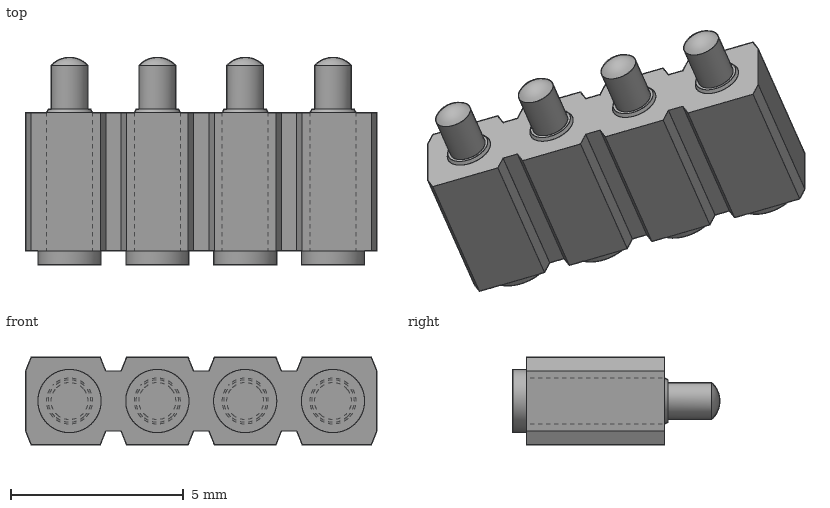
import cadquery as cq

pin_count = 4
pitch = 2.54
housing_length = pin_count * pitch
housing_depth = 4.0
housing_height = 2.54
groove_depth = 0.4
groove_floor_width = 0.44
groove_slope_run = 0.16

flange_diameter = 1.83
flange_thickness = 0.4
barrel_diameter = 1.33
barrel_protrusion = 0.1
barrel_taper = 0.05
plunger_diameter = 1.07
plunger_protrusion = 1.6
dome_height = 0.24

pin_positions = [(i - (pin_count - 1) / 2) * pitch for i in range(pin_count)]


def extrude_along_y(profile):
    """Extrude an XZ profile through the housing, from its front face at Y = 0 to its back face."""
    return profile.extrude(-housing_depth)


def make_groove(x, side):
    """Trapezoidal groove cutter at x, on the top (side = 1) or bottom (side = -1)."""
    floor_half = groove_floor_width / 2
    mouth_half = floor_half + groove_slope_run
    mouth_z = side * housing_height / 2
    floor_z = mouth_z - side * groove_depth
    return extrude_along_y(
        cq.Workplane("XZ").polyline([
            (x - mouth_half, mouth_z),
            (x - floor_half, floor_z),
            (x + floor_half, floor_z),
            (x + mouth_half, mouth_z),
        ]).close()
    )


def make_housing():
    """Bar with beveled ends, a groove between neighbouring cells and a hole for each pin."""
    end_x = housing_length / 2
    flat_x = end_x - groove_slope_run
    top_z = housing_height / 2
    bevel_z = top_z - groove_depth
    body = extrude_along_y(
        cq.Workplane("XZ").polyline([
            (-flat_x, top_z), (flat_x, top_z),
            (end_x, bevel_z), (end_x, -bevel_z),
            (flat_x, -top_z), (-flat_x, -top_z),
            (-end_x, -bevel_z), (-end_x, bevel_z),
        ]).close()
    )
    for x in pin_positions[:-1]:
        for side in (1, -1):
            body = body.cut(make_groove(x + pitch / 2, side))
    holes = extrude_along_y(
        cq.Workplane("XZ").pushPoints([(x, 0) for x in pin_positions]).circle(barrel_diameter / 2)
    )
    return body.cut(holes)


def make_pin(x):
    """Pin turned about an axis parallel to Y, placed at x."""
    flange_radius = flange_diameter / 2
    barrel_radius = barrel_diameter / 2
    plunger_radius = plunger_diameter / 2
    barrel_end = housing_depth + barrel_protrusion
    tip = housing_depth + plunger_protrusion
    dome_start = tip - dome_height
    dome_radius = (plunger_radius**2 + dome_height**2) / (2 * dome_height)
    mid_radius = plunger_radius / 2
    mid_y = tip - dome_radius + (dome_radius**2 - mid_radius**2) ** 0.5
    return (
        cq.Workplane("XY")
        .moveTo(0, -flange_thickness)
        .lineTo(flange_radius, -flange_thickness)
        .lineTo(flange_radius, 0)
        .lineTo(barrel_radius, 0)
        .lineTo(barrel_radius, housing_depth)
        .lineTo(barrel_radius - barrel_taper, barrel_end)
        .lineTo(plunger_radius, barrel_end)
        .lineTo(plunger_radius, dome_start)
        .threePointArc((mid_radius, mid_y), (0, tip))
        .close()
        .revolve(360, (0, 0, 0), (0, 1, 0))
        .translate((x, 0, 0))
    )


housing = make_housing()
pins = [make_pin(x) for x in pin_positions]

result = cq.Compound.makeCompound([housing.val(), *[pin.val() for pin in pins]])